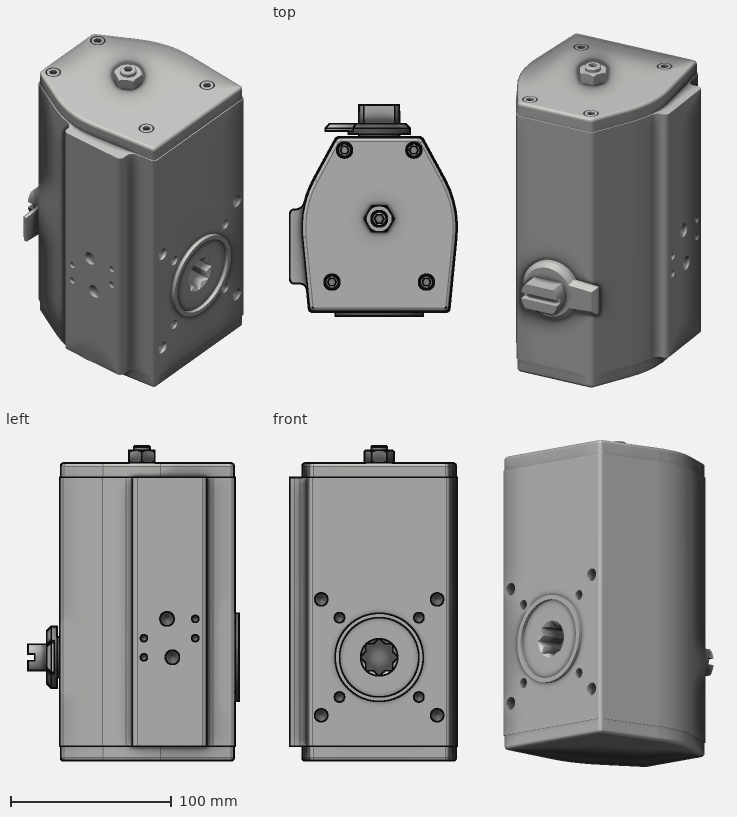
import cadquery as cq
import math


HOUSING_BACK_Y = 51.2
HOUSING_FRONT_Y = -58.1
FLANK_RADIUS = 62.8
FLANK_MAX_X = 48.7
FLANK_CENTRE_Y = -5.3
BACK_SLOPE = math.radians(28.6)
FRONT_SLOPE = math.radians(5.6)
BACK_CORNER_RADIUS = 4.0
FRONT_CORNER_RADIUS = 2.4

HOUSING_BOTTOM_Z = -55.5
HOUSING_HEIGHT = 167.6
HOUSING_TOP_Z = HOUSING_BOTTOM_Z + HOUSING_HEIGHT

CAP_THICKNESS = 9.0
CAP_INSET = 0.5
CAP_FILLET = 2.2
CAP_TOP_Z = HOUSING_TOP_Z + CAP_THICKNESS

SCREW_BORE_DIAMETER = 9.8
SCREW_HEAD_DIAMETER = 7.9
SCREW_SOCKET_FLATS = 4.7
SCREW_BORE_DEPTH = 4.0
SCREW_SOCKET_DEPTH = 3.0
BACK_SCREWS = (21.5, 42.8)
FRONT_SCREWS = (29.5, -39.5)

NUT_FLATS = 16.0
NUT_HEIGHT = 7.9
NUT_CHAMFER = 1.0
BOLT_DIAMETER = 10.2
BOLT_TOP_Z = 131.7
BOLT_CHAMFER = 0.8
BOLT_SOCKET_FLATS = 5.3
BOLT_SOCKET_DEPTH = 5.0

PAD_FACE_X = -55.7
PAD_CENTRE_Y = -17.3
PAD_WIDTH = 46.3
PAD_CORNER_RADIUS = 3.0
PAD_BACK_ROOT_FILLET = 5.7
PAD_FRONT_ROOT_FILLET = 4.3
PORT_DIAMETER = 8.8
PORT_PITCH = 24.0
UPPER_PORT_Y = -15.7
LOWER_PORT_Y = -19.0
PAD_SCREW_DIAMETER = 4.3
PAD_SCREW_PITCH_Y = 32.0
PAD_SCREW_CENTRE_Y = -17.3

DRILL_POINT_ANGLE = math.radians(118)
DRILL_DEPTH_RATIO = 1.5

RING_OUTER_RADIUS = 27.5
RING_INNER_RADIUS = 24.7
RING_HEIGHT = 2.5
LARGE_BOLT_DIAMETER = 8.0
LARGE_BOLT_OFFSET = 36.1
SMALL_BOLT_DIAMETER = 6.3
SMALL_BOLT_OFFSET = 24.7
STAR_FLATS = 16.9
STAR_TIP_RADIUS = 11.5
STAR_DEPTH = 19.6
STAR_LEAD_IN = 2.4

SHAFT_RADIUS = 12.8
SHAFT_FLATS = 16.5
SHAFT_END_Y = 71.0
SHAFT_SLOT_WIDTH = 4.1
SHAFT_SLOT_DEPTH = 4.3
DISC_RADIUS = 19.2
DISC_BASE_Y = 52.8
DISC_TOP_Y = 59.3
DISC_BEVEL = 2.7
POINTER_TIP_X = -33.5
POINTER_BASE_Y = 54.5
POINTER_ROOT_WIDTH = 23.2
POINTER_TIP_WIDTH = 18.5


def housing_prism(inset, bottom_z, height):
    """Prism of the housing outline, moved inward by inset, with rounded vertical corners."""
    radius = FLANK_RADIUS - inset
    centre_x = FLANK_MAX_X - FLANK_RADIUS
    back_y = HOUSING_BACK_Y - inset
    front_y = HOUSING_FRONT_Y + inset

    def on_flank(angle):
        return (centre_x + radius * math.cos(angle), FLANK_CENTRE_Y + radius * math.sin(angle))

    upper = on_flank(BACK_SLOPE)
    middle = on_flank(0)
    lower = on_flank(-FRONT_SLOPE)
    back_x = upper[0] - (back_y - upper[1]) * math.tan(BACK_SLOPE)
    front_x = lower[0] - (lower[1] - front_y) * math.tan(FRONT_SLOPE)

    def mirrored(point):
        return (-point[0], point[1])

    prism = (
        cq.Workplane("XY", origin=(0, 0, bottom_z))
        .moveTo(-front_x, front_y)
        .lineTo(front_x, front_y)
        .lineTo(*lower)
        .threePointArc(middle, upper)
        .lineTo(back_x, back_y)
        .lineTo(-back_x, back_y)
        .lineTo(*mirrored(upper))
        .threePointArc(mirrored(middle), mirrored(lower))
        .close()
        .extrude(height)
    )
    prism = prism.edges("|Z and >Y").fillet(BACK_CORNER_RADIUS)
    return prism.edges("|Z and <Y").fillet(FRONT_CORNER_RADIUS)


def cylinder_y(radius, start_y, end_y):
    """Cylinder on the drive shaft axis."""
    return cq.Workplane("XZ", origin=(0, start_y, 0)).circle(radius).extrude(start_y - end_y)


def hexagon(flats, centre, bottom_z, height):
    """Upright hexagonal prism with two corners along X."""
    corner_diameter = flats / math.cos(math.pi / 6)
    return (
        cq.Workplane("XY", origin=(centre[0], centre[1], bottom_z))
        .polygon(6, corner_diameter)
        .extrude(height)
    )


def drilled_hole(diameter, mouth, direction):
    """Blind hole with a conical end, to be cut away."""
    radius = diameter / 2
    depth = diameter * DRILL_DEPTH_RATIO
    tip_length = radius / math.tan(DRILL_POINT_ANGLE / 2)
    start = cq.Vector(*mouth)
    axis = cq.Vector(*direction)
    barrel = cq.Solid.makeCylinder(radius, depth, start, axis)
    point = cq.Solid.makeCone(radius, 0, tip_length, start + axis * depth, axis)
    return barrel.fuse(point)


def housing():
    """Extruded housing with the valve pad blended into its flank."""
    body = housing_prism(0, HOUSING_BOTTOM_Z, HOUSING_HEIGHT)
    pad = (
        cq.Workplane("XY", origin=(0, 0, HOUSING_BOTTOM_Z))
        .center(PAD_FACE_X / 2, PAD_CENTRE_Y)
        .rect(-PAD_FACE_X, PAD_WIDTH)
        .extrude(HOUSING_HEIGHT)
        .edges("|Z and <X")
        .fillet(PAD_CORNER_RADIUS)
    )
    body = body.union(pad)
    mid_z = HOUSING_BOTTOM_Z + HOUSING_HEIGHT / 2
    back_root = (-FLANK_MAX_X, PAD_CENTRE_Y + PAD_WIDTH / 2, mid_z)
    front_root = (-FLANK_MAX_X, PAD_CENTRE_Y - PAD_WIDTH / 2, mid_z)
    body = body.edges(cq.selectors.NearestToPointSelector(back_root)).fillet(PAD_BACK_ROOT_FILLET)
    return body.edges(cq.selectors.NearestToPointSelector(front_root)).fillet(PAD_FRONT_ROOT_FILLET)


def end_caps():
    """Top and bottom caps with rounded outer rims."""
    top = housing_prism(CAP_INSET, HOUSING_TOP_Z, CAP_THICKNESS).faces(">Z").edges().fillet(CAP_FILLET)
    bottom = housing_prism(CAP_INSET, HOUSING_BOTTOM_Z - CAP_THICKNESS, CAP_THICKNESS)
    return top.union(bottom.faces("<Z").edges().fillet(CAP_FILLET))


def add_cap_screws(part):
    """Four socket screws in the top cap, each with a clearance ring around its head."""
    for x, y in (BACK_SCREWS, FRONT_SCREWS):
        for centre in ((x, y), (-x, y)):
            ring = (
                cq.Workplane("XY", origin=(centre[0], centre[1], CAP_TOP_Z - SCREW_BORE_DEPTH))
                .circle(SCREW_BORE_DIAMETER / 2)
                .circle(SCREW_HEAD_DIAMETER / 2)
                .extrude(SCREW_BORE_DEPTH)
            )
            socket_bottom = CAP_TOP_Z - SCREW_SOCKET_DEPTH
            part = part.cut(ring)
            part = part.cut(hexagon(SCREW_SOCKET_FLATS, centre, socket_bottom, SCREW_SOCKET_DEPTH))
    return part


def stop_bolt():
    """Lock nut with turned corners and the socketed bolt end above it."""
    bolt_height = BOLT_TOP_Z - CAP_TOP_Z
    corner_radius = NUT_FLATS / 2 / math.cos(math.pi / 6)
    turned_blank = (
        cq.Workplane("XY", origin=(0, 0, CAP_TOP_Z))
        .circle(corner_radius)
        .extrude(NUT_HEIGHT)
        .edges()
        .chamfer(NUT_CHAMFER)
    )
    nut = hexagon(NUT_FLATS, (0, 0), CAP_TOP_Z, NUT_HEIGHT).intersect(turned_blank)
    bolt = (
        cq.Workplane("XY", origin=(0, 0, CAP_TOP_Z))
        .circle(BOLT_DIAMETER / 2)
        .extrude(bolt_height)
        .faces(">Z")
        .chamfer(BOLT_CHAMFER)
    )
    socket = hexagon(BOLT_SOCKET_FLATS, (0, 0), BOLT_TOP_Z - BOLT_SOCKET_DEPTH, BOLT_SOCKET_DEPTH)
    return nut.union(bolt).cut(socket)


def cut_pad_holes(part):
    """Two air ports and four screw holes in the valve pad."""
    ports = ((UPPER_PORT_Y, PORT_PITCH), (LOWER_PORT_Y, 0))
    back_y = PAD_SCREW_CENTRE_Y + PAD_SCREW_PITCH_Y / 2
    front_y = PAD_SCREW_CENTRE_Y - PAD_SCREW_PITCH_Y / 2
    middle_z = PORT_PITCH / 2
    screws = ((back_y, 0), (back_y, middle_z), (front_y, middle_z), (front_y, PORT_PITCH))
    for diameter, places in ((PORT_DIAMETER, ports), (PAD_SCREW_DIAMETER, screws)):
        for y, z in places:
            part = part.cut(cq.Workplane(drilled_hole(diameter, (PAD_FACE_X, y, z), (1, 0, 0))))
    return part


def cut_mounting_holes(part):
    """Two square patterns of bolt holes around the shaft."""
    patterns = ((LARGE_BOLT_DIAMETER, LARGE_BOLT_OFFSET), (SMALL_BOLT_DIAMETER, SMALL_BOLT_OFFSET))
    for diameter, offset in patterns:
        for x in (-offset, offset):
            for z in (-offset, offset):
                hole = drilled_hole(diameter, (x, HOUSING_FRONT_Y, z), (0, 1, 0))
                part = part.cut(cq.Workplane(hole))
    return part


def centring_ring():
    """Raised ring around the shaft on the mounting face."""
    front_y = HOUSING_FRONT_Y - RING_HEIGHT
    outer = cylinder_y(RING_OUTER_RADIUS, front_y, HOUSING_FRONT_Y)
    return outer.cut(cylinder_y(RING_INNER_RADIUS, front_y, HOUSING_FRONT_Y))


def star_socket():
    """Eight-pointed drive socket: two crossed squares trimmed by a circle, with a conical lead-in."""
    socket_centre = (0, HOUSING_FRONT_Y + STAR_DEPTH / 2, 0)
    square = cq.Workplane("XZ", origin=socket_centre).box(STAR_FLATS, STAR_FLATS, STAR_DEPTH)
    turned = square.rotate((0, 0, 0), (0, 1, 0), 45)
    trim = cylinder_y(STAR_TIP_RADIUS, HOUSING_FRONT_Y, HOUSING_FRONT_Y + STAR_DEPTH)
    lead_in = cq.Solid.makeCone(
        STAR_TIP_RADIUS,
        STAR_FLATS / 2,
        STAR_LEAD_IN,
        cq.Vector(0, HOUSING_FRONT_Y, 0),
        cq.Vector(0, 1, 0),
    )
    return square.union(turned).intersect(trim).union(cq.Workplane(lead_in))


def shaft_end():
    """Shaft stub with two flats beyond the disc and a screwdriver slot along X."""
    collar = cylinder_y(SHAFT_RADIUS, HOUSING_BACK_Y, DISC_TOP_Y)
    flat_length = SHAFT_END_Y - DISC_TOP_Y
    flats = cq.Workplane("XY").box(2 * SHAFT_RADIUS, flat_length, SHAFT_FLATS)
    flats = flats.translate((0, DISC_TOP_Y + flat_length / 2, 0))
    stub = cylinder_y(SHAFT_RADIUS, DISC_TOP_Y, SHAFT_END_Y).intersect(flats)
    slot = cq.Workplane("XY").box(2 * SHAFT_RADIUS, SHAFT_SLOT_DEPTH, SHAFT_SLOT_WIDTH)
    slot = slot.translate((0, SHAFT_END_Y - SHAFT_SLOT_DEPTH / 2, 0))
    return collar.union(stub).cut(slot)


def indicator():
    """Bevelled disc with a tapered pointer towards -X."""
    disc = cylinder_y(DISC_RADIUS, DISC_BASE_Y, DISC_TOP_Y).faces(">Y").chamfer(DISC_BEVEL)
    pointer = (
        cq.Workplane("XZ", origin=(0, POINTER_BASE_Y, 0))
        .moveTo(0, -POINTER_ROOT_WIDTH / 2)
        .lineTo(POINTER_TIP_X, -POINTER_TIP_WIDTH / 2)
        .lineTo(POINTER_TIP_X, POINTER_TIP_WIDTH / 2)
        .lineTo(0, POINTER_ROOT_WIDTH / 2)
        .close()
        .extrude(POINTER_BASE_Y - DISC_TOP_Y)
        .faces(">Y")
        .chamfer(DISC_BEVEL)
    )
    return disc.union(pointer)


result = housing().union(end_caps())
result = add_cap_screws(result)
result = cut_pad_holes(result)
result = cut_mounting_holes(result)
result = result.union(stop_bolt()).union(centring_ring()).cut(star_socket())
result = result.union(shaft_end()).union(indicator())